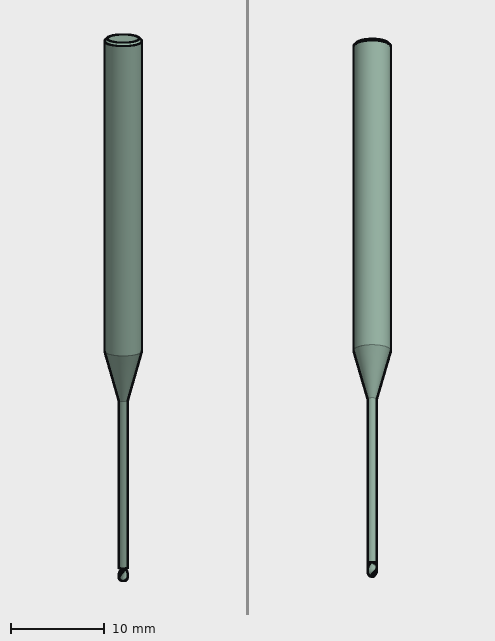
import cadquery as cq
import math

tool_length = 60.0
shank_diameter = 4.0
shank_radius = shank_diameter / 2
shank_chamfer = 0.3
cone_top_z = 25.45
cone_bottom_z = 20.0

neck_diameter = 1.0
neck_radius = neck_diameter / 2

head_length = 1.5
web_thickness = 0.35
helix_angle = 37.0
twist_degrees = math.degrees(head_length * math.tan(math.radians(helix_angle)) / neck_radius)


def make_shank():
    """Chamfered shank, tapered down to the slender neck."""
    profile = [
        (0, head_length),
        (neck_radius, head_length),
        (neck_radius, cone_bottom_z),
        (shank_radius, cone_top_z),
        (shank_radius, tool_length - shank_chamfer),
        (shank_radius - shank_chamfer, tool_length),
        (0, tool_length),
    ]
    return cq.Workplane("XZ").polyline(profile).close().revolve(360, (0, 0), (0, 1))


def make_ball_nose_envelope():
    """Cylinder with a hemispherical lower end."""
    arc_offset = neck_radius * math.sin(math.radians(45))
    return (
        cq.Workplane("XZ")
        .moveTo(0, 0)
        .threePointArc((arc_offset, neck_radius - arc_offset), (neck_radius, neck_radius))
        .lineTo(neck_radius, head_length)
        .lineTo(0, head_length)
        .close()
        .revolve(360, (0, 0), (0, 1))
    )


def make_cutting_head():
    """Right-hand twisted web trimmed to the ball-nose envelope; the gaps beside it are the flutes."""
    twisted_web = (
        cq.Workplane("XY")
        .rect(2 * neck_diameter, web_thickness)
        .twistExtrude(head_length, twist_degrees)
    )
    return make_ball_nose_envelope().intersect(twisted_web).solids()


shank = make_shank()
cutting_head = make_cutting_head()

result = cq.Compound.makeCompound([shank.val(), cutting_head.val()])